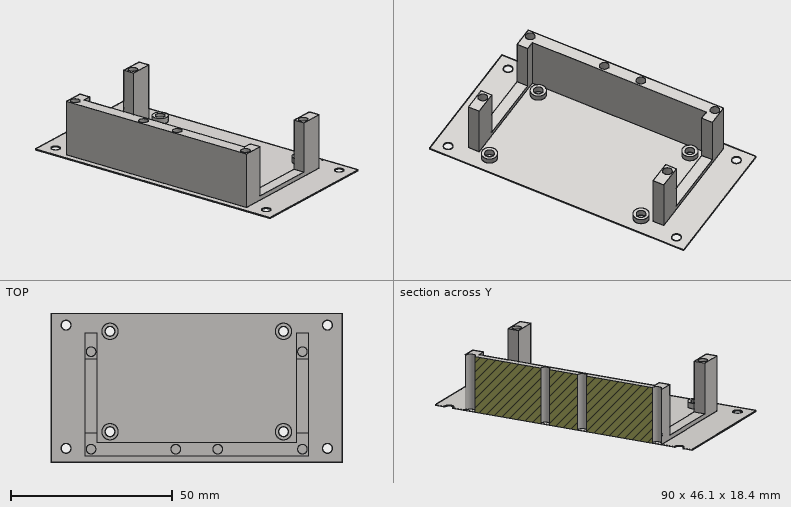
import cadquery as cq

plate_length = 90.0
plate_width = 46.1
plate_thickness = 0.4
hole_diameter = 3.0

mount_x = 40.4
mount_back_y = 19.35
mount_front_y = -18.7

total_height = 18.4
frame_length = 69.1
frame_front_y = -21.1
frame_back_y = 16.9
side_thickness = 3.8
front_thickness = 4.1
back_post_depth = 8.0
front_post_depth = 7.1
sill_height = 1.4

screw_mid_x = 6.5
screw_back_y = 11.2
screw_front_y = -19.0

standoff_diameter = 5.0
standoff_height = 1.8
standoff_x = 26.8
standoff_back_y = 17.5
standoff_front_y = -13.6

frame_height = total_height - plate_thickness
screw_side_x = frame_length / 2 - side_thickness / 2


def mirrored_points(x, *y_values):
    """Points at +x and -x for each y."""
    return [(side * x, y) for y in y_values for side in (-1, 1)]


def block(length, y_start, y_end, bottom, height):
    """Box centred on X = 0, spanning the given Y range."""
    return (
        cq.Workplane("XY", origin=(0, (y_start + y_end) / 2, bottom))
        .box(length, y_end - y_start, height, centered=(True, True, False))
    )


def cylinders(points, diameter, bottom, height):
    return (
        cq.Workplane("XY", origin=(0, 0, bottom))
        .pushPoints(points)
        .circle(diameter / 2)
        .extrude(height)
    )


def make_plate():
    return cq.Workplane("XY").box(
        plate_length, plate_width, plate_thickness, centered=(True, True, False)
    )


def make_frame():
    frame = block(frame_length, frame_front_y, frame_back_y, plate_thickness, frame_height)
    interior = block(
        frame_length - 2 * side_thickness,
        frame_front_y + front_thickness,
        frame_back_y,
        plate_thickness,
        frame_height,
    )
    side_gap = block(
        frame_length,
        frame_front_y + front_post_depth,
        frame_back_y - back_post_depth,
        plate_thickness + sill_height,
        frame_height - sill_height,
    )
    screw_points = mirrored_points(screw_side_x, screw_back_y, screw_front_y)
    screw_points += mirrored_points(screw_mid_x, screw_front_y)
    screw_holes = cylinders(screw_points, hole_diameter, plate_thickness, frame_height)
    return frame.cut(interior).cut(side_gap).cut(screw_holes)


standoff_points = mirrored_points(standoff_x, standoff_back_y, standoff_front_y)
mount_points = mirrored_points(mount_x, mount_back_y, mount_front_y)
standoffs = cylinders(standoff_points, standoff_diameter, plate_thickness, standoff_height)

through_holes = cylinders(
    mount_points + standoff_points, hole_diameter, 0, plate_thickness + standoff_height
)

result = make_plate().union(make_frame()).union(standoffs).cut(through_holes)